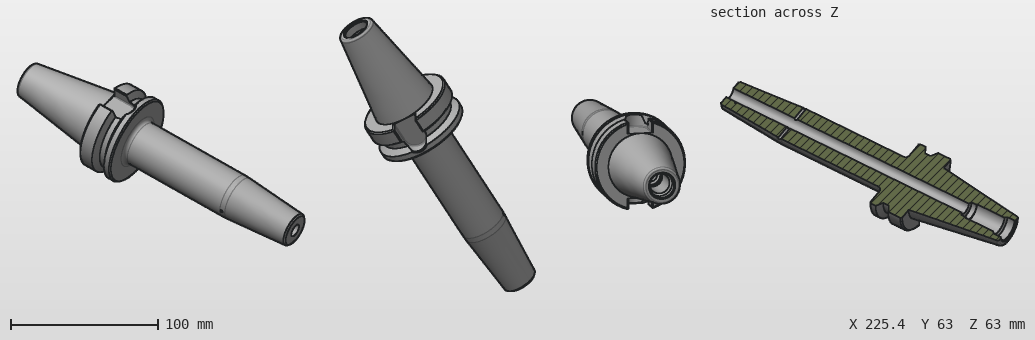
import cadquery as cq
import math

taper_length = 65.4
gauge_length = 160.0
flange_start = 1.0
flange_end = 27.0

gauge_radius = 44.45 / 2
taper_slope = 7 / 48
small_end_round = 1.5

flange_radius = 31.5
flange_chamfer = 1.0
groove_floor_radius = 26.5
groove_center = 16.8
groove_floor_width = 4.3
groove_wall_angle = 30.0
neck_fillet = 3.0

shank_radius = 16.0
nose_cone_start = 110.0
nose_cone_angle = 4.5
nose_blend_length = 2.0
nose_chamfer = 1.2

slot_width = 16.1
slot_floor = 22.5
slot_tip = 23.4
slot_entry_chamfer = 1.0
slot_rim_chamfer = 0.8
slot_floor_fillet = 0.5

pilot_radius = 8.5
pilot_depth = 6.5
mouth_chamfer = 0.8
thread_radius = 7.0
thread_depth = 30.0
thread_chamfer_angle = 45.0
core_radius = 6.4
core_depth = 34.0
drill_point_angle = 59.0
through_radius = 4.5

cross_hole_radius = 1.0
cross_hole_x = 109.5


def taper_radius(x):
    """Radius of the steep taper at station x."""
    return gauge_radius + taper_slope * x


def nose_radius(x):
    """Radius of the nose cone at station x."""
    return shank_radius - (x - nose_cone_start) * math.tan(math.radians(nose_cone_angle))


def axial_run(large_radius, small_radius, half_angle):
    """Length along X of a cone between two radii."""
    return (large_radius - small_radius) / math.tan(math.radians(half_angle))


def turn(outline):
    """Turn a closed outline of (X, radius) about the X axis."""
    return outline.close().revolve(360, (0, 0, 0), (1, 0, 0))


def make_body():
    small_end = -taper_length
    round_end = small_end + small_end_round
    groove_floor_start = groove_center - groove_floor_width / 2
    groove_floor_end = groove_center + groove_floor_width / 2
    groove_run = (flange_radius - groove_floor_radius) * math.tan(math.radians(groove_wall_angle))
    blend_start = nose_cone_start - nose_blend_length
    blend_end = nose_cone_start + nose_blend_length * math.cos(math.radians(nose_cone_angle))
    chamfer_start = gauge_length - nose_chamfer
    outline = (
        cq.Workplane("XZ")
        .moveTo(small_end, 0)
        .lineTo(small_end, taper_radius(round_end) - small_end_round)
        .radiusArc((round_end, taper_radius(round_end)), small_end_round)
        .lineTo(flange_start, taper_radius(flange_start))
        .lineTo(flange_start, flange_radius - flange_chamfer)
        .lineTo(flange_start + flange_chamfer, flange_radius)
        .lineTo(groove_floor_start - groove_run, flange_radius)
        .lineTo(groove_floor_start, groove_floor_radius)
        .lineTo(groove_floor_end, groove_floor_radius)
        .lineTo(groove_floor_end + groove_run, flange_radius)
        .lineTo(flange_end - flange_chamfer, flange_radius)
        .lineTo(flange_end, flange_radius - flange_chamfer)
        .lineTo(flange_end, shank_radius + neck_fillet)
        .radiusArc((flange_end + neck_fillet, shank_radius), -neck_fillet)
        .lineTo(blend_start, shank_radius)
        .tangentArcPoint((blend_end, nose_radius(blend_end)), relative=False)
        .lineTo(chamfer_start, nose_radius(chamfer_start))
        .lineTo(gauge_length, nose_radius(chamfer_start) - nose_chamfer)
        .lineTo(gauge_length, 0)
    )
    return turn(outline)


def make_slot():
    """Round-ended drive slot at +Z, with chamfered entry corners and a rounded floor edge."""
    half_width = slot_width / 2
    straight_end = slot_tip - half_width
    chamfer_half_width = half_width + slot_entry_chamfer
    cutter = (
        cq.Workplane("XY", origin=(0, 0, slot_floor))
        .moveTo(flange_start, -chamfer_half_width)
        .lineTo(flange_start + slot_entry_chamfer, -half_width)
        .lineTo(straight_end, -half_width)
        .threePointArc((slot_tip, 0), (straight_end, half_width))
        .lineTo(flange_start + slot_entry_chamfer, half_width)
        .lineTo(flange_start, chamfer_half_width)
        .close()
        .extrude(flange_radius - slot_floor)
    )
    floor_edges = cutter.faces("<Z").edges("not(|Y)")
    return floor_edges.fillet(slot_floor_fillet)


def make_bore():
    small_end = -taper_length
    pilot_end = small_end + pilot_depth
    thread_start = pilot_end + axial_run(pilot_radius, thread_radius, thread_chamfer_angle)
    thread_end = small_end + thread_depth
    core_end = small_end + core_depth
    drill_end = core_end + axial_run(core_radius, through_radius, drill_point_angle)
    outline = (
        cq.Workplane("XZ")
        .moveTo(small_end, 0)
        .lineTo(small_end, pilot_radius + mouth_chamfer)
        .lineTo(small_end + mouth_chamfer, pilot_radius)
        .lineTo(pilot_end, pilot_radius)
        .lineTo(thread_start, thread_radius)
        .lineTo(thread_end, thread_radius)
        .lineTo(thread_end, core_radius)
        .lineTo(core_end, core_radius)
        .lineTo(drill_end, through_radius)
        .lineTo(gauge_length, through_radius)
        .lineTo(gauge_length, 0)
    )
    return turn(outline)


def make_cross_hole():
    return (
        cq.Workplane("XZ")
        .center(cross_hole_x, 0)
        .circle(cross_hole_radius)
        .extrude(shank_radius, both=True)
    )


def chamfer_slot_rims(part):
    """Break the edges where the slot walls meet the outside of the flange."""
    rim_box = cq.selectors.BoxSelector(
        (flange_start + slot_entry_chamfer, -slot_width, flange_radius - 2 * slot_rim_chamfer),
        (slot_tip + slot_rim_chamfer / 2, slot_width, flange_radius + slot_rim_chamfer),
    )
    for _ in ("+Z slot", "-Z slot"):
        part = part.edges(rim_box).chamfer(slot_rim_chamfer)
        part = part.rotate((0, 0, 0), (1, 0, 0), 180)
    return part


result = make_body().cut(make_bore()).cut(make_cross_hole())
for slot_angle in (0, 180):
    result = result.cut(make_slot().rotate((0, 0, 0), (1, 0, 0), slot_angle))
result = chamfer_slot_rims(result)